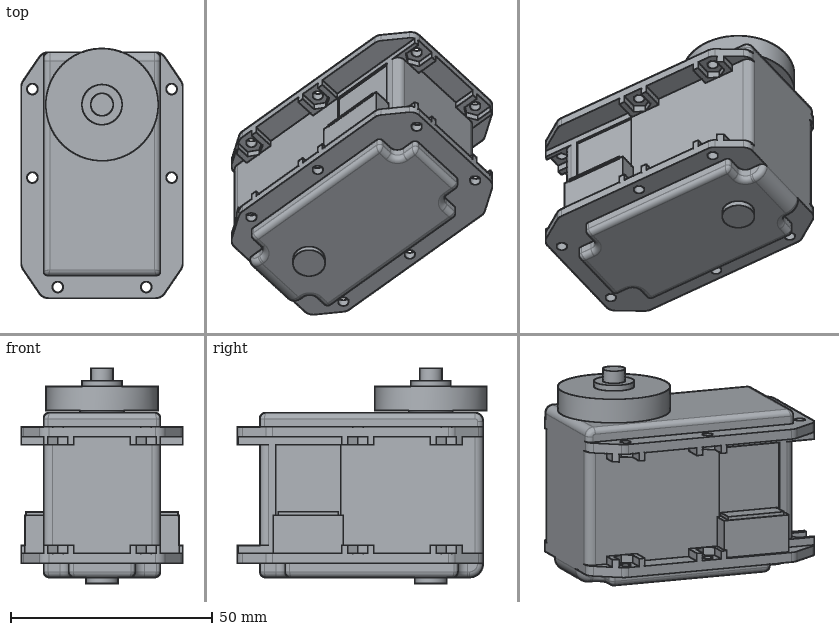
import cadquery as cq
import math


case_width = 29.05
case_back = 13.05
case_front = -42.5
case_top = 41.0
body_corner_radius = 2.1
upright_edge_radius = 1.05
edge_radius = 1.5
cover_back_edge_radius = 2.1
base_back_edge_radius = 3.5

notch_size = 6.3
notch_inner_radius = 2.3

flange_width = 40.2
flange_front = -48.1
flange_thickness = 2.5
lower_flange_bottom = 3.55
upper_flange_bottom = 34.95
lower_flange_top = lower_flange_bottom + flange_thickness
upper_flange_top = upper_flange_bottom + flange_thickness
flange_cut_x = 5.35
flange_cut_y = 7.8
flange_corner_radius = 2.85

hole_diameter = 2.6
hole_rim_distance = 2.8
hole_spacing = 22.0
side_hole_back_y = 3.85
side_hole_x = flange_width / 2 - hole_rim_distance
side_hole_ys = (side_hole_back_y, side_hole_back_y - hole_spacing)
end_hole_x = hole_spacing / 2
end_hole_y = flange_front + hole_rim_distance
hole_places = [(side_hole_x, y, 0) for y in side_hole_ys]
hole_places += [(-side_hole_x, y, 180) for y in side_hole_ys]
hole_places += [(x, end_hole_y, -90) for x in (-end_hole_x, end_hole_x)]
pad_height = 2.0
pad_width = 8.0
nut_width = 5.0
nut_diameter = nut_width / math.cos(math.pi / 6)

connector_center_y = -30.4
connector_width = 17.4
connector_top = 15.45
connector_x = 19.2
connector_lip_width = 14.9
connector_lip_top = 16.35
connector_lip_x = 18.95
recess_width = 16.15
recess_depth = 0.5
recess_top = upper_flange_bottom - pad_height

horn_bottom = 41.5
horn_top = 47.5
hub_top = 48.95
shaft_top = 52.05
collar = (11.0, case_top, horn_bottom)
horn = (27.95, horn_bottom, horn_top)
hub = (10.0, horn_top, hub_top)
shaft = (5.6, hub_top, shaft_top)
rear_boss = (8.0, -1.5, 0)


def box(x_min, x_max, y_min, y_max, z_min, z_max):
    """Axis-aligned box between two corners."""
    size = (x_max - x_min, y_max - y_min, z_max - z_min)
    return cq.Workplane("XY").box(*size, centered=False).translate((x_min, y_min, z_min))


def case_block(z_min, z_max):
    """Full-footprint slice of the case."""
    half = case_width / 2
    return box(-half, half, case_front, case_back, z_min, z_max)


def make_cover():
    """Top cover, with a larger round along its back edge."""
    cover = case_block(upper_flange_bottom, case_top)
    cover = cover.edges("|Z and <Y").fillet(upright_edge_radius)
    cover = cover.faces(">Z").edges(">Y").fillet(cover_back_edge_radius)
    return cover.faces(">Z").edges("not >Y").fillet(edge_radius)


def make_body():
    """Middle of the case, between the flanges."""
    return case_block(lower_flange_bottom, upper_flange_top).edges("|Z").fillet(body_corner_radius)


def make_base():
    """Bottom of the case, notched at its four corners."""
    base = case_block(0, lower_flange_bottom)
    base = base.faces("<Z").edges(">Y").fillet(base_back_edge_radius)
    corners = [(sx * case_width / 2, y) for sx in (-1, 1) for y in (case_back, case_front)]
    notches = (
        cq.Workplane("XY")
        .pushPoints(corners)
        .rect(2 * notch_size, 2 * notch_size)
        .extrude(lower_flange_bottom)
        .edges("|Z")
        .fillet(notch_inner_radius)
    )
    base = base.cut(notches)
    base = base.edges("|Z and (<X or >X or <Y)").fillet(upright_edge_radius)
    return base.faces("<Z").edges().fillet(edge_radius)


def flange_plate(z_min, z_max):
    """Flange outline, with cut and softened corners, over the given height."""
    length = case_back - flange_front
    half_x = flange_width / 2
    half_y = length / 2
    inner_x = half_x - flange_cut_x
    inner_y = half_y - flange_cut_y
    outline = [
        (half_x, inner_y), (inner_x, half_y), (-inner_x, half_y), (-half_x, inner_y),
        (-half_x, -inner_y), (-inner_x, -half_y), (inner_x, -half_y), (half_x, -inner_y),
    ]
    plate = cq.Workplane("XY").polyline(outline).close().extrude(z_max - z_min)
    plate = plate.edges("|Z").fillet(flange_corner_radius)
    return plate.translate((0, case_back - half_y, z_min))


def make_pads(z_min):
    """Solid pads around the holes, trimmed to the flange outline and the case width in front."""
    z_max = z_min + pad_height
    half_case = case_width / 2
    half_pad = pad_width / 2
    rim = flange_width / 2
    pads = cq.Workplane("XY")
    for y in side_hole_ys:
        pads = pads.union(box(-rim, rim, y - half_pad, y + half_pad, z_min, z_max))
    for sx in (-1, 1):
        x = sx * end_hole_x
        front_pad = box(
            max(x - half_pad, -half_case), min(x + half_pad, half_case),
            flange_front, case_front + body_corner_radius, z_min, z_max,
        )
        pads = pads.union(front_pad)
    return pads.intersect(flange_plate(z_min, z_max))


def make_nut_pocket(z_min):
    """Hexagonal pocket facing +X: its inner end is a point and its outer end is open."""
    hexagon = cq.Workplane("XY").polygon(6, nut_diameter).extrude(pad_height).translate((0, 0, z_min))
    opening = box(0, nut_diameter, -nut_width / 2, nut_width / 2, z_min, z_min + pad_height)
    return hexagon.union(opening)


def add_flange(part, plate_bottom, pad_bottom):
    """Add a flange plate with its pads, then cut the nut pockets and the holes."""
    plate_top = plate_bottom + flange_thickness
    part = part.union(flange_plate(plate_bottom, plate_top)).union(make_pads(pad_bottom))
    pocket = make_nut_pocket(pad_bottom)
    hole = cq.Workplane("XY").circle(hole_diameter / 2).extrude(flange_thickness)
    hole = hole.translate((0, 0, plate_bottom))
    for x, y, angle in hole_places:
        cutter = pocket.union(hole).rotate((0, 0, 0), (0, 0, 1), angle)
        part = part.cut(cutter.translate((x, y, 0)))
    return part


def side_block(x_inner, x_outer, width, z_min, z_max):
    """Pair of mirrored blocks on the two sides, centred on the connectors along Y."""
    y_min = connector_center_y - width / 2
    y_max = connector_center_y + width / 2
    right = box(x_inner, x_outer, y_min, y_max, z_min, z_max)
    return right.union(right.mirror("YZ"))


def add_connectors(part):
    """Sink a shallow recess into both sides and stand a connector in its lower part."""
    floor_x = case_width / 2 - recess_depth
    part = part.cut(side_block(floor_x, case_width / 2, recess_width, lower_flange_top, recess_top))
    bodies = side_block(floor_x, connector_x, connector_width, lower_flange_top, connector_top)
    lips = side_block(floor_x, connector_lip_x, connector_lip_width, connector_top, connector_lip_top)
    return part.union(bodies).union(lips)


def round_step(diameter, z_min, z_max):
    """Cylinder on the output axis."""
    return cq.Workplane("XY").workplane(offset=z_min).circle(diameter / 2).extrude(z_max - z_min)


result = make_body().union(make_cover()).union(make_base())
result = add_flange(result, lower_flange_bottom, lower_flange_top)
result = add_flange(result, upper_flange_bottom, upper_flange_bottom - pad_height)
result = add_connectors(result)
for step in (collar, horn, hub, shaft, rear_boss):
    result = result.union(round_step(*step))